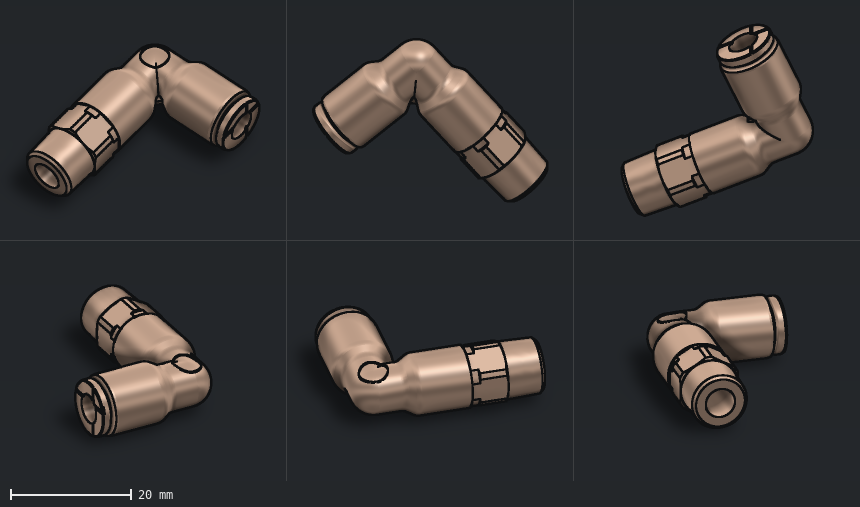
import cadquery as cq
import math


elbow_radius = 4.15
arm_radius = 5.35
shoulder_start = 4.1
shoulder_arc_radius = 2.03
shoulder_angle = math.radians(31)
collet_arm_length = 16.25
stud_arm_length = 15.72
end_taper_length = 0.55
end_taper_depth = 0.1
web_thickness = 0.95
web_reach = 9.93
badge_radius = 2.45
badge_depth = 0.2

passage_radius = 2.55
lip_inset = 0.47
lip_arc_radius = 3.85
socket_floor = 7.25
socket_radius = 3.52

half_flats = 5.0
corner_radius = 11.0 / 2
relief_radius = 5.25
relief_end = 17.08
relief_ramp = 0.1
hex_end = 22.02
hex_chamfer_angle = math.radians(30)
thread_big_radius = 4.95
thread_taper = 1 / 16
stud_end = 28.53
tip_chamfer_length = 0.6
tip_radius = 4.25

flange_radius = 4.95
flange_start = 16.9
flange_end = 18.35
flange_round = 0.47
flange_edge_round = 0.17
neck_flare_size = 0.15
rim_radius = 4.78
collet_end = 18.6
notch_offset = 1.42
notch_width = 0.4


def turned(points):
    """Revolve (distance, radius) points around the X axis."""
    outline = cq.Workplane("XY").polyline([(distance, -radius) for distance, radius in points]).close()
    return outline.revolve(360, (0, 0, 0), (1, 0, 0))


def rod(start, end, radius):
    return cq.Workplane("YZ").workplane(offset=start).circle(radius).extrude(end - start)


def to_stud_axis(shape):
    """Turn a shape made along +X so that it lies along -Y."""
    return shape.rotate((0, 0, 0), (0, 0, 1), -90)


def arm(length, taper_length, taper_depth):
    """Solid arm along +X: elbow radius, S-shaped shoulder, barrel and optional end taper."""
    arc_length = shoulder_arc_radius * math.sin(shoulder_angle)
    arc_rise = shoulder_arc_radius * (1 - math.cos(shoulder_angle))
    half_arc_length = shoulder_arc_radius * math.sin(shoulder_angle / 2)
    half_arc_rise = shoulder_arc_radius * (1 - math.cos(shoulder_angle / 2))
    slope_length = (arm_radius - elbow_radius - 2 * arc_rise) / math.tan(shoulder_angle)
    slope_start = shoulder_start + arc_length
    slope_end = slope_start + slope_length
    barrel_start = slope_end + arc_length
    outline = (
        cq.Workplane("XY")
        .lineTo(0, -elbow_radius)
        .lineTo(shoulder_start, -elbow_radius)
        .threePointArc(
            (shoulder_start + half_arc_length, -elbow_radius - half_arc_rise),
            (slope_start, -elbow_radius - arc_rise),
        )
        .lineTo(slope_end, -arm_radius + arc_rise)
        .threePointArc(
            (barrel_start - half_arc_length, -arm_radius + half_arc_rise),
            (barrel_start, -arm_radius),
        )
        .lineTo(length - taper_length, -arm_radius)
    )
    if taper_length:
        outline = outline.lineTo(length, -arm_radius + taper_depth)
    return outline.lineTo(length, 0).close().revolve(360, (0, 0, 0), (1, 0, 0))


def bend(radius):
    """Quarter ball that rounds the outer side of the bend."""
    corner = cq.Workplane("XY").box(radius, radius, 2 * radius)
    return cq.Workplane("XY").sphere(radius).intersect(corner.translate((-radius / 2, radius / 2, 0)))


def corner_web():
    """Thin web across the inner corner between the two arms."""
    outline = cq.Workplane("XY").polyline([(0, 0), (web_reach, 0), (0, -web_reach)]).close()
    return outline.extrude(web_thickness / 2, both=True)


def badge_recess():
    """Round recess on top of the bend, its floor parallel to the surface around it."""
    floor_radius = elbow_radius - badge_depth
    core = (
        bend(floor_radius)
        .union(rod(0, elbow_radius, floor_radius))
        .union(to_stud_axis(rod(0, elbow_radius, floor_radius)))
    )
    return cq.Workplane("XY").circle(badge_radius).extrude(elbow_radius).cut(core)


def stud_passage():
    """Passage from the stud socket to the bend, narrowed by an arc-shaped lip on the +X side."""
    round_part = rod(0, socket_floor, passage_radius)
    lip_centre = passage_radius - lip_inset - lip_arc_radius
    lip_opening = rod(0, socket_floor, lip_arc_radius).translate((0, lip_centre, 0))
    return to_stud_axis(round_part.intersect(lip_opening))


def make_housing():
    body = (
        arm(collet_arm_length, end_taper_length, end_taper_depth)
        .union(to_stud_axis(arm(stud_arm_length, 0, 0)))
        .union(bend(elbow_radius))
        .union(corner_web())
    )
    return (
        body.cut(badge_recess())
        .cut(bend(passage_radius))
        .cut(rod(0, socket_floor, passage_radius))
        .cut(stud_passage())
        .cut(rod(socket_floor, collet_arm_length, socket_radius))
        .cut(to_stud_axis(rod(socket_floor, stud_arm_length, socket_radius)))
    )


def make_stud():
    hexagon = (
        cq.Workplane("YZ")
        .workplane(offset=stud_arm_length)
        .polygon(6, 2 * half_flats, circumscribed=True)
        .extrude(hex_end - stud_arm_length)
    )
    chamfer_length = (corner_radius - half_flats) * math.tan(hex_chamfer_angle)
    envelope = turned([
        (stud_arm_length, 0),
        (stud_arm_length, relief_radius),
        (relief_end, relief_radius),
        (relief_end + relief_ramp, corner_radius),
        (hex_end - chamfer_length, corner_radius),
        (hex_end, half_flats),
        (hex_end, 0),
    ])
    chamfer_start = stud_end - tip_chamfer_length
    thread_small_radius = thread_big_radius - (chamfer_start - hex_end) * thread_taper / 2
    thread = turned([
        (hex_end, 0),
        (hex_end, thread_big_radius),
        (chamfer_start, thread_small_radius),
        (stud_end, tip_radius),
        (stud_end, 0),
    ])
    spigot = rod(socket_floor, stud_arm_length, socket_radius)
    bore = rod(socket_floor, stud_end, passage_radius)
    return to_stud_axis(hexagon.intersect(envelope).union(thread).union(spigot).cut(bore))


def end_rim():
    """Raised rim on the collet's end face with two straight notches across it."""
    height = collet_end - flange_end
    middle = flange_end + height / 2
    notch_along_y = cq.Workplane("XY").box(height, 2 * rim_radius, notch_width)
    notch_along_z = cq.Workplane("XY").box(height, notch_width, 2 * rim_radius)
    return (
        rod(flange_end, collet_end, rim_radius)
        .cut(notch_along_y.translate((middle, 0, notch_offset)))
        .cut(notch_along_z.translate((middle, notch_offset, 0)))
    )


def make_collet():
    flange = rod(flange_start, flange_end, flange_radius)
    flange = flange.faces("<X").edges().fillet(flange_round)
    flange = flange.faces(">X").edges().fillet(flange_edge_round)
    sleeve = rod(socket_floor, flange_start, socket_radius)
    neck_flare = turned([
        (flange_start - neck_flare_size, 0),
        (flange_start - neck_flare_size, socket_radius),
        (flange_start, socket_radius + neck_flare_size),
        (flange_start, 0),
    ])
    bore = rod(socket_floor, collet_end, passage_radius)
    return flange.union(sleeve).union(neck_flare).union(end_rim()).cut(bore)


housing = make_housing()
stud = make_stud()
collet = make_collet()

result = cq.Compound.makeCompound([body.solids().val() for body in (housing, stud, collet)])